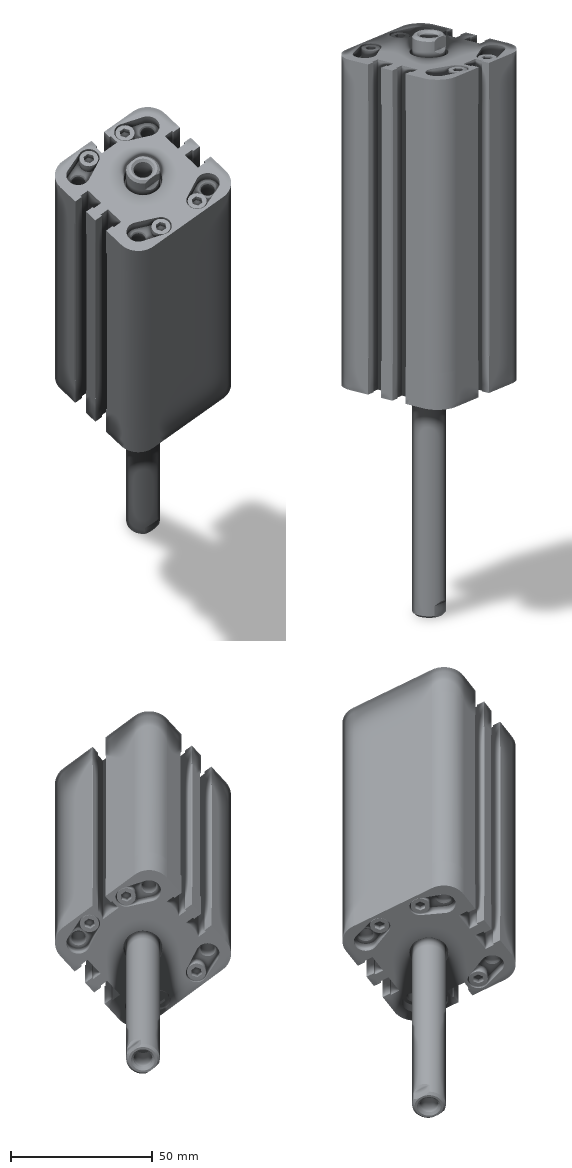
import cadquery as cq
import math


total_length = 217.0
body_bottom = 86.8
body_height = 123.7
tube_height = 96.1
cap_height = (body_height - tube_height) / 2
body_top = body_bottom + body_height
tube_bottom = body_bottom + cap_height

section_width = 49.0
half_width = section_width / 2
corner_diameter = 16.3
corner_radius = corner_diameter / 2

slot_mouth_width = 5.9
slot_inner_width = 7.2
slot_lip_depth = 3.0
slot_depth = 6.5
slot_offset = 5.5
mouth_chamfer = 0.33

rod_diameter = 12.0
rod_end_chamfer = 0.9
rod_flat_width = 10.0
rod_flat_length = 4.5
rod_shoulder_height = 1.3
rod_hole_diameter = 6.7
rod_hole_depth = 12.0
rod_hole_chamfer = 0.9

opening_diameter = 13.7
opening_depth = 4.3
opening_chamfer = 0.2

pocket_depth = 4.0
mount_spacing = 32.5
mount_x = mount_spacing / 2
mount_y = mount_x
mount_pocket_diameter = 8.5
mount_hole_diameter = 5.0
mount_hole_chamfer = 0.5
screw_x = 19.5
screw_y = 8.5
screw_pocket_diameter = 7.5
screw_head_diameter = 6.7
screw_head_height = 3.5
socket_width = 3.5
socket_depth = 2.2
CORNER_SIGNS = [(sx, sy) for sx in (-1, 1) for sy in (-1, 1)]


def slot_cutter(height, chamfer=0.0):
    """T-slot opening toward +Y on the face Y = half_width; a chamfer can break its mouth edges."""
    mouth = slot_mouth_width / 2
    inner = slot_inner_width / 2
    lip = half_width - slot_lip_depth
    floor = half_width - slot_depth
    right_side = [(inner, floor), (inner, lip), (mouth, lip)]
    if chamfer:
        right_side += [(mouth, half_width - chamfer), (mouth + chamfer, half_width)]
    else:
        right_side += [(mouth, half_width)]
    left_side = [(-x, y) for x, y in reversed(right_side)]
    return cq.Workplane("XY").polyline(right_side + left_side).close().extrude(height)


def section_block(height, chamfer=0.0):
    """Rounded square bar from Z = 0 with two slots on the +Y and -Y faces and one on the -X face."""
    block = (
        cq.Workplane("XY")
        .rect(section_width, section_width)
        .extrude(height)
        .edges("|Z")
        .fillet(corner_radius)
    )
    cutter = slot_cutter(height, chamfer)
    for face_angle in (0, 180):
        for x in (-slot_offset, slot_offset):
            block = block.cut(cutter.translate((x, 0, 0)).rotate((0, 0, 0), (0, 0, 1), face_angle))
    return block.cut(cutter.rotate((0, 0, 0), (0, 0, 1), 90))


def make_tube():
    """Profile tube between the caps, with a bore that fits the rod."""
    tube = section_block(tube_height, mouth_chamfer)
    bore = cq.Workplane("XY").circle(rod_diameter / 2).extrude(tube_height)
    return tube.cut(bore).translate((0, 0, tube_bottom))


def pocket_outline():
    """Outer tangent outline around the threaded hole and the screw, in the +X +Y corner."""
    mount_radius = mount_pocket_diameter / 2
    screw_radius = screw_pocket_diameter / 2
    dx = screw_x - mount_x
    dy = screw_y - mount_y
    axis_angle = math.atan2(dy, dx)
    tangent_angle = math.acos((mount_radius - screw_radius) / math.hypot(dx, dy))

    def on_mount(angle):
        return (mount_x + mount_radius * math.cos(angle), mount_y + mount_radius * math.sin(angle))

    def on_screw(angle):
        return (screw_x + screw_radius * math.cos(angle), screw_y + screw_radius * math.sin(angle))

    first_side = axis_angle + tangent_angle
    second_side = axis_angle - tangent_angle
    return (
        cq.Workplane("XY")
        .moveTo(*on_mount(first_side))
        .lineTo(*on_screw(first_side))
        .threePointArc(on_screw(axis_angle), on_screw(second_side))
        .lineTo(*on_mount(second_side))
        .threePointArc(on_mount(axis_angle + math.pi), on_mount(first_side))
        .close()
    )


def corner_cutter():
    """Pocket less the standing screw head, plus socket and threaded hole, in the +X +Y corner."""
    pocket_floor = cap_height - pocket_depth
    head_top = pocket_floor + screw_head_height
    pocket = pocket_outline().extrude(pocket_depth).translate((0, 0, pocket_floor))
    head = (
        cq.Workplane("XY", origin=(screw_x, screw_y, pocket_floor))
        .circle(screw_head_diameter / 2)
        .extrude(screw_head_height)
    )
    socket = (
        cq.Workplane("XY", origin=(screw_x, screw_y, head_top - socket_depth))
        .polygon(6, socket_width, circumscribed=True)
        .extrude(socket_depth)
    )
    hole = (
        cq.Workplane("XY", origin=(mount_x, mount_y, 0))
        .circle(mount_hole_diameter / 2)
        .extrude(pocket_floor)
    )
    countersink = (
        cq.Workplane("XY", origin=(mount_x, mount_y, pocket_floor - mount_hole_chamfer))
        .circle(mount_hole_diameter / 2)
        .workplane(offset=mount_hole_chamfer)
        .circle(mount_hole_diameter / 2 + mount_hole_chamfer)
        .loft(ruled=True)
    )
    return pocket.cut(head).union(socket).union(hole).union(countersink)


def make_cap():
    """End cap from Z = 0, with its outer face at Z = cap_height."""
    cap = section_block(cap_height)
    rod_bore = cq.Workplane("XY").circle(rod_diameter / 2).extrude(cap_height)
    opening = (
        cq.Workplane("XY", origin=(0, 0, cap_height - opening_depth))
        .circle(opening_diameter / 2)
        .extrude(opening_depth)
    )
    rim = (
        cq.Workplane("XY", origin=(0, 0, cap_height - opening_chamfer))
        .circle(opening_diameter / 2)
        .workplane(offset=opening_chamfer)
        .circle(opening_diameter / 2 + opening_chamfer)
        .loft(ruled=True)
    )
    cap = cap.cut(rod_bore).cut(opening).cut(rim)
    cutter = corner_cutter()
    for sx, sy in CORNER_SIGNS:
        corner = cutter
        if sx < 0:
            corner = corner.mirror("YZ")
        if sy < 0:
            corner = corner.mirror("XZ")
        cap = cap.cut(corner)
    return cap


def rod_end_cutters():
    """Cuts for the upper rod end: two wrench flats with sloped shoulders and an axial hole."""
    flat_x = rod_flat_width / 2
    outer_x = rod_diameter / 2
    flat_bottom = total_length - rod_flat_length
    flat = (
        cq.Workplane("XZ")
        .polyline(
            [
                (flat_x, total_length),
                (flat_x, flat_bottom),
                (outer_x, flat_bottom - rod_shoulder_height),
                (outer_x, total_length),
            ]
        )
        .close()
        .extrude(rod_diameter / 2, both=True)
    )
    hole_radius = rod_hole_diameter / 2
    hole = (
        cq.Workplane("XZ")
        .polyline(
            [
                (0, total_length),
                (hole_radius + rod_hole_chamfer, total_length),
                (hole_radius, total_length - rod_hole_chamfer),
                (hole_radius, total_length - rod_hole_depth),
                (0, total_length - rod_hole_depth),
            ]
        )
        .close()
        .revolve(360, (0, 0), (0, 1))
    )
    return [flat, flat.mirror("YZ"), hole]


def make_rod():
    """Through rod, the same at both ends."""
    rod = (
        cq.Workplane("XY")
        .circle(rod_diameter / 2)
        .extrude(total_length)
        .faces("<Z or >Z")
        .chamfer(rod_end_chamfer)
    )
    for cutter in rod_end_cutters():
        rod = rod.cut(cutter)
        rod = rod.cut(cutter.mirror("XY").translate((0, 0, total_length)))
    return rod


tube = make_tube()
cap = make_cap()
upper_cap = cap.translate((0, 0, body_top - cap_height))
lower_cap = cap.mirror("XY").translate((0, 0, body_bottom + cap_height))
rod = make_rod()

result = cq.Compound.makeCompound([tube.val(), upper_cap.val(), lower_cap.val(), rod.val()])